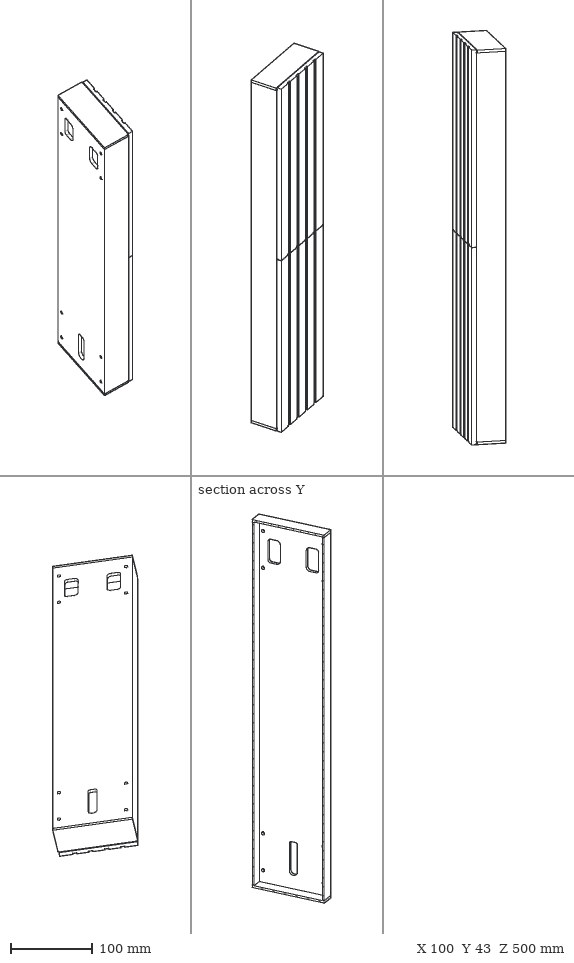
import cadquery as cq


overall_height = 500.0
overall_depth = 43.0
half_height = overall_height / 2

panel_width = 98.0
panel_thickness = 6.0
panel_gap = 0.5
panel_height = (overall_height - panel_gap) / 2

groove_count = 4
groove_pitch = 20.0
groove_width = 5.0
groove_depth = 1.5

housing_width = 100.0
housing_depth = overall_depth - panel_thickness
end_clearance = 0.25
housing_height = overall_height - 2 * end_clearance
front_wall = 4.5
side_wall = 3.0
cap_thickness = 3.5
cap_setback = 1.0
cap_depth = housing_depth - cap_setback
channel_height = housing_height - 2 * cap_thickness

screw_hole_diameter = 4.0
screw_hole_x = 42.0
screw_hole_end_distances = (20.0, 70.0)

window_width = 17.0
window_height = 32.0
window_x = 26.5
window_end_distance = 45.0
window_inner_radius = 5.0
window_outer_radius = 3.5

slot_width = 11.0
slot_height = 45.0
slot_end_distance = 22.0
slot_top_radius = 2.5


def make_screw_holes():
    """Eight round holes, in pairs near the four corners of the front wall."""
    centres = [
        (x_side * screw_hole_x, z_side * (half_height - distance))
        for x_side in (-1, 1)
        for z_side in (-1, 1)
        for distance in screw_hole_end_distances
    ]
    return cq.Workplane("XZ").pushPoints(centres).circle(screw_hole_diameter / 2).extrude(-front_wall)


def make_window(side):
    """Upper window left (-1) or right (+1), rounder at the corners nearer the middle."""
    inner_face, outer_face = ("<X", ">X") if side > 0 else (">X", "<X")
    window = cq.Workplane("XZ").rect(window_width, window_height).extrude(-front_wall)
    window = window.faces(inner_face).edges("|Y").fillet(window_inner_radius)
    window = window.faces(outer_face).edges("|Y").fillet(window_outer_radius)
    return window.translate((side * window_x, 0, half_height - window_end_distance))


def make_slot():
    """Upright slot with a half-round lower end and rounded upper corners."""
    half_width = slot_width / 2
    bottom = slot_end_distance - half_height
    slot = (
        cq.Workplane("XZ")
        .moveTo(-half_width, bottom + half_width)
        .threePointArc((0, bottom), (half_width, bottom + half_width))
        .lineTo(half_width, bottom + slot_height)
        .lineTo(-half_width, bottom + slot_height)
        .close()
        .extrude(-front_wall)
    )
    return slot.faces(">Z").edges("|Y").fillet(slot_top_radius)


def make_channel():
    """Front wall with its openings and the two side walls, open at both ends and the back."""
    outer = cq.Workplane("XY").box(housing_width, housing_depth, channel_height)
    inside = cq.Workplane("XY").box(housing_width - 2 * side_wall, housing_depth, channel_height)
    channel = outer.cut(inside.translate((0, front_wall, 0)))
    channel = channel.translate((0, housing_depth / 2, 0))
    for opening in (make_screw_holes(), make_window(-1), make_window(1), make_slot()):
        channel = channel.cut(opening)
    return channel


def make_cap(side):
    """Flat plate on the lower (-1) or upper (+1) end of the channel."""
    cap = cq.Workplane("XY").box(housing_width, cap_depth, cap_thickness)
    return cap.translate((0, cap_depth / 2, side * (channel_height + cap_thickness) / 2))


def make_panel(side):
    """Lower (-1) or upper (+1) grooved panel behind the housing."""
    panel = cq.Workplane("XY").box(panel_width, panel_thickness, panel_height)
    groove = cq.Workplane("XY").box(groove_width, groove_depth, panel_height)
    groove_y = (panel_thickness - groove_depth) / 2
    for index in range(groove_count):
        groove_x = (index - (groove_count - 1) / 2) * groove_pitch
        panel = panel.cut(groove.translate((groove_x, groove_y, 0)))
    panel_y = housing_depth + panel_thickness / 2
    return panel.translate((0, panel_y, side * (panel_gap + panel_height) / 2))


channel = make_channel()
caps = [make_cap(side) for side in (-1, 1)]
panels = [make_panel(side) for side in (-1, 1)]

result = cq.Compound.makeCompound([body.solids().val() for body in (channel, *caps, *panels)])